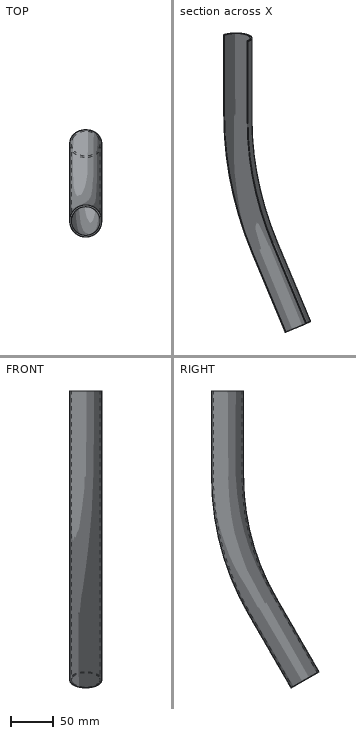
import cadquery as cq
import math

outer_diameter = 38.1
inner_diameter = 33.88
leg_length = 101.6
bend_radius = 304.8
bend_angle = 30.0


def point_on_bend(angle):
    """Centreline point (Y, Z) after turning by an angle in degrees from the start of the bend."""
    turn = math.radians(angle)
    return bend_radius * (1 - math.cos(turn)), -bend_radius * math.sin(turn)


def make_centreline():
    """Centreline in the YZ plane; the bend starts at the origin below the vertical leg."""
    bend_end_y, bend_end_z = point_on_bend(bend_angle)
    slope = math.radians(bend_angle)
    lower_end = (
        bend_end_y + leg_length * math.sin(slope),
        bend_end_z - leg_length * math.cos(slope),
    )
    return (
        cq.Workplane("YZ")
        .moveTo(0, leg_length)
        .lineTo(0, 0)
        .threePointArc(point_on_bend(bend_angle / 2), (bend_end_y, bend_end_z))
        .lineTo(*lower_end)
    )


def make_tube():
    """Ring section at the top end swept along the centreline, open at both ends."""
    ring = (
        cq.Workplane("XY", origin=(0, 0, leg_length))
        .circle(outer_diameter / 2)
        .circle(inner_diameter / 2)
    )
    return ring.sweep(make_centreline())


result = make_tube()